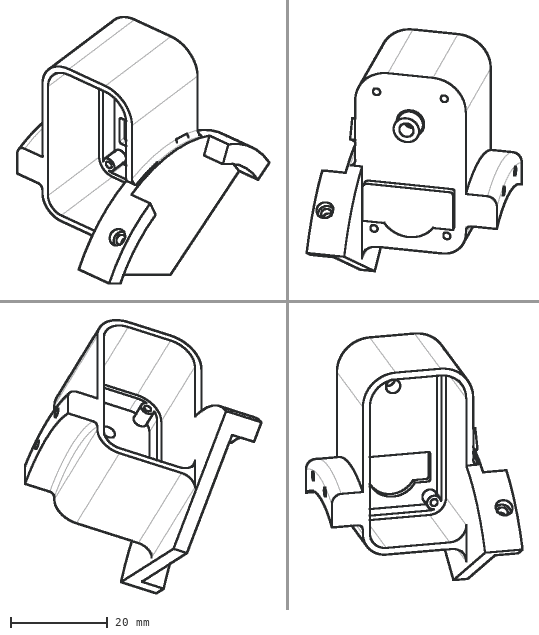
import cadquery as cq
import math


box_half_width = 11.75
box_front_y = -10.9
box_back_y = 11.1
box_depth = box_back_y - box_front_y
box_top = 50.8
box_bottom = 10.95
wall = 1.5
top_radius = 7.0
bottom_radius = 5.0
inner_half_width = box_half_width - wall

lip_width = 0.95
lip_front_y = 6.25
floor_thickness = 1.0

boss_places = [(7.2, 46.3), (7.75, 15.1)]
boss_diameter = 3.0
boss_hole_diameter = 1.5

pin_z = 39.95
pin_diameter = 5.4
pin_end_y = 14.65
pin_flare = 0.2
pin_hole_diameter = 3.0

compartment_half_width = 7.9
compartment_top = 24.85
compartment_bottom = 18.35
compartment_arc_radius = 5.35
compartment_arc_bottom = 15.75
compartment_corner = 0.5
compartment_wall = 1.0
compartment_end_y = 12.7
bulge_left_x = -9.4
bulge_right_x = 9.8
bulge_left_corner = 0.6
bulge_right_corner = 1.0

plate_span = 53.7
sector_half_angle = 60
sector_radius = plate_span / (2 * math.sin(math.radians(sector_half_angle)))
sector_outer_x = 13.3
lug_outer_x = 18.25
lug_inner_angle = 25
lug_thickness = 4.4
lug_hole_diameter = 2.2
lug_counterbore_diameter = 3.5
lug_counterbore_depth = 2.0

flange_outer_x = -18.35
flange_outer_radius = 27.45
flange_inner_radius = 21.0
flange_edge_radius = 2.0
flange_hole_diameter = 1.9
flange_hole_half_spacing = 5.0

arc_blend_radius = 1.0
bottom_blend_radius = 3.0


def along_y(y_start):
    """XZ sketch plane at y_start; extrusions from it run toward +Y."""
    return cq.Workplane(cq.Plane(origin=(0, y_start, 0), xDir=(1, 0, 0), normal=(0, -1, 0)))


def extrude_back(sketch, length):
    return sketch.extrude(-length)


def rounded_box(inset, y_start, y_end):
    """Box section moved inward by inset, between two Y positions."""
    half_width = box_half_width - inset
    bottom = box_bottom + inset
    height = box_top - box_bottom - 2 * inset
    sketch = along_y(y_start).center(0, bottom + height / 2).rect(2 * half_width, height)
    body = extrude_back(sketch, y_end - y_start)
    body = body.edges("|Y and >Z").fillet(top_radius - inset)
    return body.edges("|Y and <Z").fillet(bottom_radius - inset)


def cylinder_y(x, z, diameter, y_start, y_end):
    return extrude_back(along_y(y_start).center(x, z).circle(diameter / 2), y_end - y_start)


def compartment_bowl(offset, y_start, y_end):
    """Lower part of a disc, from mid compartment height down, grown outward by offset."""
    radius = compartment_arc_radius + offset
    center_z = compartment_arc_bottom + compartment_arc_radius
    disc = cylinder_y(0, center_z, 2 * radius, y_start, y_end)
    lower = along_y(y_start).center(0, center_z - radius / 2).rect(2 * radius, radius)
    return disc.intersect(extrude_back(lower, y_end - y_start))


def make_pocket():
    """Compartment interior, opening into the box."""
    end_y = compartment_end_y - compartment_wall
    block = extrude_back(
        along_y(lip_front_y)
        .center(0, (compartment_top + compartment_bottom) / 2)
        .rect(2 * compartment_half_width, compartment_top - compartment_bottom),
        end_y - lip_front_y,
    )
    block = block.edges("|Y").fillet(compartment_corner)
    return block.union(compartment_bowl(0, lip_front_y, end_y))


def make_bulge():
    """Compartment shell behind the box; its +X side reaches a little farther."""
    start_y = box_back_y - floor_thickness
    top = compartment_top + compartment_wall
    bottom = compartment_bottom - compartment_wall
    block = extrude_back(
        along_y(start_y)
        .center((bulge_left_x + bulge_right_x) / 2, (top + bottom) / 2)
        .rect(bulge_right_x - bulge_left_x, top - bottom),
        compartment_end_y - start_y,
    )
    block = block.edges("|Y").edges("<X").edges(">Z").fillet(bulge_left_corner)
    block = block.edges("|Y").edges(">X").edges(">Z").fillet(bulge_right_corner)
    return block.union(compartment_bowl(compartment_wall, start_y, compartment_end_y))


def make_pin():
    """Pin with a conical flare where it meets the box."""
    pin = cylinder_y(0, pin_z, pin_diameter, box_back_y - floor_thickness, pin_end_y)
    root_radius = pin_diameter / 2 + pin_flare
    flare = cq.Solid.makeCone(
        root_radius, pin_diameter / 2, pin_flare, cq.Vector(0, box_back_y, pin_z), cq.Vector(0, 1, 0)
    )
    return pin.union(cq.Workplane(flare))


def sector(radius, start_angle, end_angle, x_start, x_end):
    """Pie slice about the X axis; angles are measured from +Z toward +Y."""
    def point(angle):
        turn = math.radians(angle)
        return (radius * math.sin(turn), radius * math.cos(turn))

    return (
        cq.Workplane("YZ", origin=(x_start, 0, 0))
        .lineTo(*point(start_angle))
        .threePointArc(point((start_angle + end_angle) / 2), point(end_angle))
        .close()
        .extrude(x_end - x_start)
    )


def within_box_depth(profile):
    """Turn an XZ profile about the X axis; keep the upper part level with the box."""
    ring = profile.revolve(360, (0, 0, 0), (1, 0, 0))
    keep_length = 4 * box_half_width
    keep = cq.Workplane().box(keep_length, box_depth, box_top, centered=(True, False, False))
    keep = keep.translate((0, box_front_y, 0))
    return ring.intersect(keep)


def concave_blend(corner_x, corner_z, x_side, z_side, radius):
    """Closed XZ profile filling a right-angled corner, leaving a concave arc."""
    reach = radius * (1 - math.sqrt(0.5))
    return (
        cq.Workplane("XZ")
        .moveTo(corner_x, corner_z)
        .lineTo(corner_x + x_side * radius, corner_z)
        .threePointArc(
            (corner_x + x_side * reach, corner_z + z_side * reach),
            (corner_x, corner_z + z_side * radius),
        )
        .close()
    )


def make_flange():
    reach = flange_edge_radius * (1 - math.sqrt(0.5))
    root_x = -inner_half_width - wall / 2
    profile = (
        cq.Workplane("XZ")
        .moveTo(root_x, flange_inner_radius)
        .lineTo(flange_outer_x, flange_inner_radius)
        .lineTo(flange_outer_x, flange_outer_radius - flange_edge_radius)
        .threePointArc(
            (flange_outer_x + reach, flange_outer_radius - reach),
            (flange_outer_x + flange_edge_radius, flange_outer_radius),
        )
        .lineTo(root_x, flange_outer_radius)
        .close()
    )
    blend = concave_blend(-box_half_width, flange_inner_radius, -1, -1, arc_blend_radius)
    flange = within_box_depth(profile).union(within_box_depth(blend))
    hole_radius_from_axis = (flange_inner_radius + flange_outer_radius) / 2
    hole_z = math.sqrt(hole_radius_from_axis**2 - flange_hole_half_spacing**2)
    holes = (
        cq.Workplane("YZ", origin=(flange_outer_x, 0, 0))
        .pushPoints([(side * flange_hole_half_spacing, hole_z) for side in (-1, 1)])
        .circle(flange_hole_diameter / 2)
        .extrude(-box_half_width - flange_outer_x)
    )
    return flange.cut(holes)


def make_lug(side):
    """Raised rim segment with a radial counterbored hole."""
    angles = (side * lug_inner_angle, side * sector_half_angle)
    inner_radius = sector_radius - lug_thickness
    lug = sector(sector_radius, *angles, sector_outer_x, lug_outer_x)
    lug = lug.cut(cq.Workplane("YZ", origin=(sector_outer_x, 0, 0)).circle(inner_radius)
                  .extrude(lug_outer_x - sector_outer_x))
    turn = math.radians(sum(angles) / 2)
    outward = cq.Vector(0, math.sin(turn), math.cos(turn))
    hole_x = (sector_outer_x + lug_outer_x) / 2
    rim_point = cq.Vector(hole_x, 0, 0) + outward * sector_radius
    clearance = 0.55
    start = rim_point + outward * clearance
    counterbore = cq.Solid.makeCylinder(
        lug_counterbore_diameter / 2, lug_counterbore_depth + clearance, start, outward * -1
    )
    hole = cq.Solid.makeCylinder(
        lug_hole_diameter / 2, lug_thickness + 2 * clearance, start, outward * -1
    )
    return lug, cq.Workplane(counterbore.fuse(hole))


def make_sector_plate():
    plate = sector(
        sector_radius, -sector_half_angle, sector_half_angle, inner_half_width, sector_outer_x
    )
    for side in (-1, 1):
        lug, lug_hole = make_lug(side)
        plate = plate.union(lug).cut(lug_hole)
    blend = concave_blend(box_half_width, sector_radius, 1, 1, arc_blend_radius)
    return plate.union(within_box_depth(blend))


def make_bottom_joint():
    """Square off the box corner against the sector plate and blend below it."""
    corner = along_y(box_front_y).center(
        inner_half_width - bottom_radius / 2, box_bottom + bottom_radius / 2
    ).rect(bottom_radius, bottom_radius)
    blend = concave_blend(inner_half_width, box_bottom, -1, -1, bottom_blend_radius)
    blend = blend.extrude(box_depth).translate((0, box_back_y, 0))
    return extrude_back(corner, box_depth).union(blend)


def make_cavity():
    """Main cavity, then the narrower recess behind the lip, less the bosses."""
    floor_y = box_back_y - floor_thickness
    main = rounded_box(wall, box_front_y, lip_front_y)
    recess = rounded_box(wall + lip_width, lip_front_y, floor_y)
    for x, z in boss_places:
        for side in (-1, 1):
            recess = recess.cut(cylinder_y(side * x, z, boss_diameter, lip_front_y, floor_y))
    return main.union(recess)


result = rounded_box(0, box_front_y, box_back_y)
result = result.union(make_flange())
result = result.union(make_bottom_joint())
result = result.union(make_sector_plate())
result = result.union(make_bulge())
result = result.union(make_pin())
result = result.cut(make_cavity())
result = result.cut(make_pocket())
result = result.cut(cylinder_y(0, pin_z, pin_hole_diameter, lip_front_y, pin_end_y))
for boss_x, boss_z in boss_places:
    for boss_side in (-1, 1):
        result = result.cut(
            cylinder_y(boss_side * boss_x, boss_z, boss_hole_diameter, lip_front_y, box_back_y)
        )